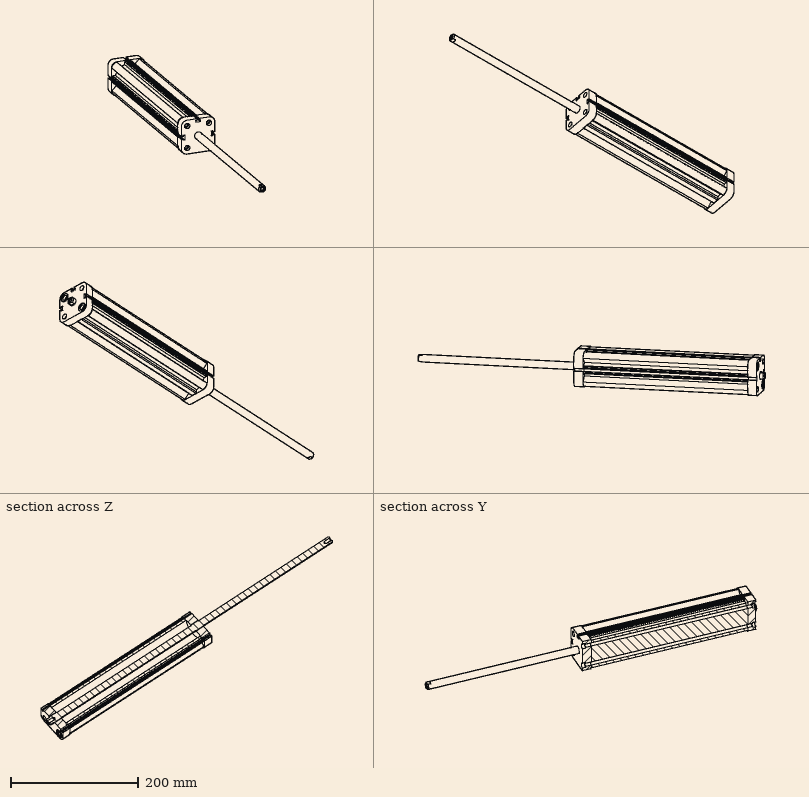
import cadquery as cq

rod_length = 560.0
cap_start = 7.0
rear_cap_length = 14.0
tube_length = 266.0
front_cap_length = 15.0

cap_side = 57.0
cap_corner_radius = 9.5
tube_inset = 0.85

bolt_offset = 18.5
bolt_hole_diameter = 5.0
counterbore_diameter = 8.5
counterbore_depth = 5.5
seat_diameter = 14.0
seat_depth = 1.0

slot_mouth_width = 4.5
slot_lip = 3.1
slot_floor_width = 8.0
slot_depth = 5.5

bore_diameter = 36.0
barrel_radius = 22.5
recess_depth = 12.5
rail_width = 12.0
rail_chamfer = 1.5

rod_diameter = 12.5
rod_chamfer = 1.5
flat_width = 10.0
flat_length = 6.0
rod_hole_diameter = 4.5
rod_hole_depth = 11.0
rod_hole_chamfer = 1.0
rod_hole_tip_length = 1.5

cap_half = cap_side / 2
tube_half = cap_half - tube_inset
tube_corner_radius = cap_corner_radius - tube_inset
tube_start = cap_start + rear_cap_length
front_cap_start = tube_start + tube_length
front_cap_end = front_cap_start + front_cap_length

all_sides = (0, 90, 180, 270)
slotted_sides = (0, 90, 180)
bolt_points = [(y, z) for y in (-bolt_offset, bolt_offset) for z in (-bolt_offset, bolt_offset)]
seat_points = [(bolt_offset, bolt_offset), (-bolt_offset, -bolt_offset)]


def section(x):
    """Sketching plane across the cylinder axis at x, with local axes Y and Z."""
    return cq.Workplane("YZ", origin=(x, 0, 0))


def cylinder(x, length, diameter):
    return section(x).circle(diameter / 2).extrude(length)


def square_bar(x, length, side, radius):
    return section(x).rect(side, side).extrude(length).edges("|X").fillet(radius)


def turned(shape, angle):
    """The shape of the +Y side, turned about the cylinder axis to another side."""
    return shape.rotate((0, 0, 0), (1, 0, 0), angle)


def bolt_holes(x, length, diameter):
    return section(x).pushPoints(bolt_points).circle(diameter / 2).extrude(length)


def cut_sensor_slots(body, x, length):
    mouth_half = slot_mouth_width / 2
    floor_half = slot_floor_width / 2
    lip_y = cap_half - slot_lip
    floor_y = cap_half - slot_depth
    slot = (
        section(x)
        .polyline([
            (cap_half, -mouth_half), (lip_y, -mouth_half), (lip_y, -floor_half), (floor_y, -floor_half),
            (floor_y, floor_half), (lip_y, floor_half), (lip_y, mouth_half), (cap_half, mouth_half),
        ])
        .close()
        .extrude(length)
    )
    for angle in slotted_sides:
        body = body.cut(turned(slot, angle))
    return body


def make_cap(x, length, counterbore_x):
    cap = square_bar(x, length, cap_side, cap_corner_radius)
    cap = cut_sensor_slots(cap, x, length)
    cap = cap.cut(cylinder(x, length, rod_diameter))
    cap = cap.cut(bolt_holes(x, length, bolt_hole_diameter))
    return cap.cut(bolt_holes(counterbore_x, counterbore_depth, counterbore_diameter))


def cut_seats(cap):
    """Round seats at two diagonally opposite bolt holes in the outer face of the rear cap."""
    seats = section(cap_start).pushPoints(seat_points).circle(seat_diameter / 2).extrude(seat_depth)
    return cap.cut(seats)


def make_tube():
    tube = square_bar(tube_start, tube_length, 2 * tube_half, tube_corner_radius)

    mouth_half = tube_half - tube_corner_radius
    floor_half = mouth_half - recess_depth
    floor_y = tube_half - recess_depth
    recess = (
        section(tube_start)
        .polyline([
            (tube_half, -mouth_half), (tube_half, mouth_half), (floor_y, floor_half), (floor_y, -floor_half),
        ])
        .close()
        .extrude(tube_length)
    )
    barrel = cylinder(tube_start, tube_length, 2 * barrel_radius)
    rail = (
        section(tube_start)
        .rect(2 * tube_half, rail_width)
        .extrude(tube_length)
        .edges("|X")
        .chamfer(rail_chamfer)
    )
    recess = recess.cut(barrel).cut(rail)
    for angle in all_sides:
        tube = tube.cut(turned(recess, angle))

    tube = cut_sensor_slots(tube, tube_start, tube_length)
    tube = tube.cut(cylinder(tube_start, tube_length, bore_diameter))
    return tube.cut(bolt_holes(tube_start, tube_length, bolt_hole_diameter))


def make_rod_hole():
    """Cutter for the blind hole in the rear rod end, with a chamfered mouth and a conical bottom."""
    radius = rod_hole_diameter / 2
    half_profile = [
        (0, 0),
        (0, radius + rod_hole_chamfer),
        (rod_hole_chamfer, radius),
        (rod_hole_depth, radius),
        (rod_hole_depth + rod_hole_tip_length, 0),
    ]
    return cq.Workplane("XY").polyline(half_profile).close().revolve(360, (0, 0, 0), (1, 0, 0))


def make_rod():
    rod = cylinder(0, rod_length, rod_diameter).faces("<X or >X").chamfer(rod_chamfer)
    for x in (0, rod_length - flat_length):
        rod_end = section(x).rect(rod_diameter, flat_width).extrude(flat_length)
        rod = rod.cut(cylinder(x, flat_length, rod_diameter).cut(rod_end))
    rear_hole = make_rod_hole()
    return rod.cut(rear_hole).cut(rear_hole.mirror("YZ", (rod_length / 2, 0, 0)))


rear_cap = cut_seats(make_cap(cap_start, rear_cap_length, cap_start))
tube = make_tube()
front_cap = make_cap(front_cap_start, front_cap_length, front_cap_end - counterbore_depth)
rod = make_rod()

result = cq.Compound.makeCompound([rear_cap.val(), tube.val(), front_cap.val(), rod.val()])